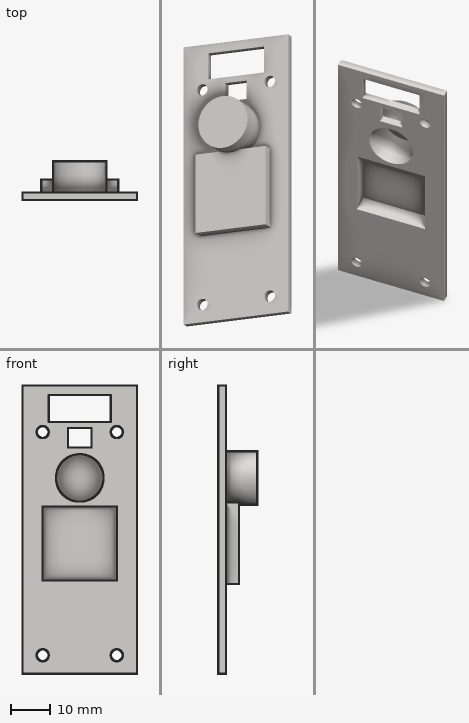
import cadquery as cq

PLATE_WIDTH = 29.4
PLATE_HEIGHT = 73.9
PLATE_THICKNESS = 2.0
TOTAL_DEPTH = 10.0

HOLE_DIAMETER = 3.0
HOLE_SPACING_X = 19.0
HOLE_SPACING_Z = 57.2
UPPER_HOLE_Z = -11.95

LARGE_WINDOW_WIDTH = 15.8
LARGE_WINDOW_HEIGHT = 6.9
LARGE_WINDOW_Z = -5.9
SMALL_WINDOW_WIDTH = 6.0
SMALL_WINDOW_HEIGHT = 4.9
SMALL_WINDOW_Z = -13.4

CUP_BORE_DIAMETER = 12.2
CUP_WALL = 0.8
CUP_Z = -23.7

POCKET_SIZE = 19.0
POCKET_Z = -40.5
POCKET_SIDE_WALL = 0.4
POCKET_END_WALL = 0.95
BACK_WALL = 0.8
BOX_DEPTH = 5.35


def block(width, height, depth, center_z):
    """Box centred on x = 0 that runs from the front face back to y = depth."""
    return (
        cq.Workplane("XY")
        .box(width, depth, height, centered=(True, False, True))
        .translate((0, 0, center_z))
    )


def cylinder(diameter, depth, x, z):
    """Cylinder along Y that runs from the front face back to y = depth."""
    return cq.Workplane("XZ").center(x, z).circle(diameter / 2).extrude(-depth)


def make_body():
    """Plate with the solid outer shapes of the cup and the pocket box."""
    plate = block(PLATE_WIDTH, PLATE_HEIGHT, PLATE_THICKNESS, -PLATE_HEIGHT / 2)
    cup = cylinder(CUP_BORE_DIAMETER + 2 * CUP_WALL, TOTAL_DEPTH, 0, CUP_Z)
    pocket_box = block(
        POCKET_SIZE + 2 * POCKET_SIDE_WALL,
        POCKET_SIZE + 2 * POCKET_END_WALL,
        BOX_DEPTH,
        POCKET_Z,
    )
    return plate.union(cup).union(pocket_box)


def cut_recesses(body):
    """Hollow out the cup and the square pocket, leaving their back walls."""
    bore = cylinder(CUP_BORE_DIAMETER, TOTAL_DEPTH - BACK_WALL, 0, CUP_Z)
    pocket = block(POCKET_SIZE, POCKET_SIZE, BOX_DEPTH - BACK_WALL, POCKET_Z)
    return body.cut(bore).cut(pocket)


def cut_windows(body):
    """Cut the two rectangular windows through the plate."""
    large = block(LARGE_WINDOW_WIDTH, LARGE_WINDOW_HEIGHT, PLATE_THICKNESS, LARGE_WINDOW_Z)
    small = block(SMALL_WINDOW_WIDTH, SMALL_WINDOW_HEIGHT, PLATE_THICKNESS, SMALL_WINDOW_Z)
    return body.cut(large).cut(small)


def cut_screw_holes(body):
    """Cut the four screw holes through the plate."""
    for x in (-HOLE_SPACING_X / 2, HOLE_SPACING_X / 2):
        for z in (UPPER_HOLE_Z, UPPER_HOLE_Z - HOLE_SPACING_Z):
            body = body.cut(cylinder(HOLE_DIAMETER, PLATE_THICKNESS, x, z))
    return body


result = cut_screw_holes(cut_windows(cut_recesses(make_body())))